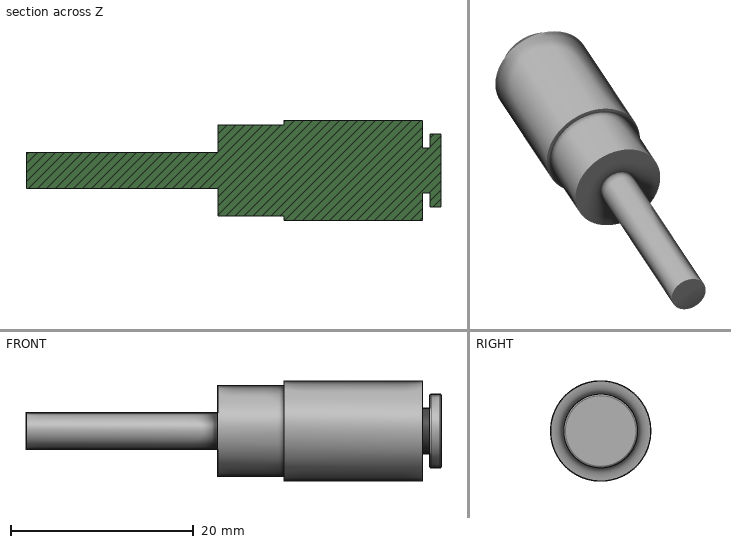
import cadquery as cq

total_length = 45.5
stem_length = 21.0
stem_diameter = 4.0
shoulder_length = 7.3
shoulder_diameter = 10.0
sleeve_length = 15.2
sleeve_diameter = 11.0
collar_length = 1.27
collar_diameter = 8.1
collar_edge_fillet = 0.2
neck_diameter = 5.0

neck_length = total_length - stem_length - shoulder_length - sleeve_length - collar_length
stem_start = -total_length / 2
collar_start = total_length / 2 - collar_length


def cylinder(start, length, diameter):
    """Solid cylinder on the X axis, running from start towards +X."""
    return cq.Workplane("YZ", origin=(start, 0, 0)).circle(diameter / 2).extrude(length)


result = cylinder(collar_start, collar_length, collar_diameter).edges().fillet(collar_edge_fillet)

sections = [
    (stem_length, stem_diameter),
    (shoulder_length, shoulder_diameter),
    (sleeve_length, sleeve_diameter),
    (neck_length, neck_diameter),
]
section_start = stem_start
for length, diameter in sections:
    result = result.union(cylinder(section_start, length, diameter))
    section_start += length